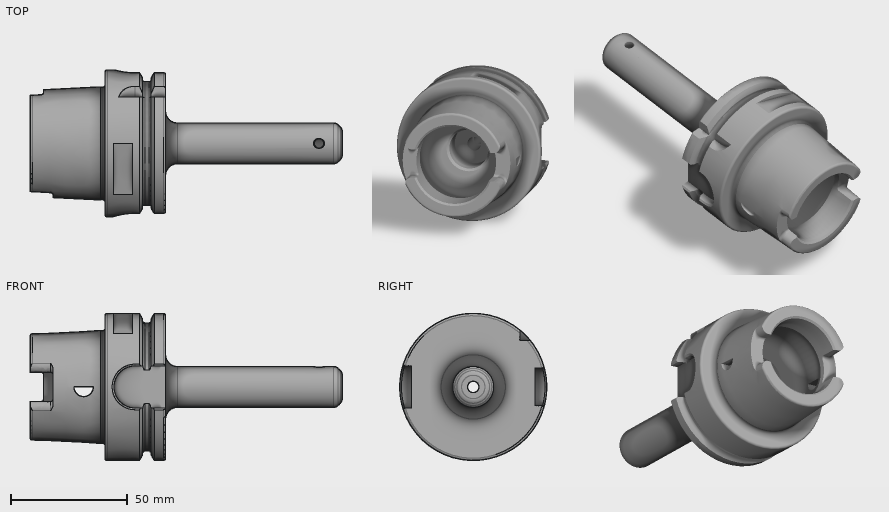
import math

import cadquery as cq


taper_length = 32.0
taper_slope = 0.5 / 9.98
gauge_radius = 48.05 / 2
gauge_x = -6.3
rim_rounding = 1.0
relief_radius = 48.24 / 2
relief_start_x = -1.9
relief_ramp = 0.4
seat_rounding = 1.0

flange_radius = 63.0 / 2
flange_length = 26.0
flange_rounding = 1.0
groove_x = 17.95
groove_bottom_radius = 27.45
groove_width = 3.6
groove_rounding = 0.9
groove_flank_radius = 29.1
groove_flank_angle = 30.0

shank_radius = 17.53 / 2
shank_end_x = 101.6
neck_rounding = 5.0
tip_face_radius = 10.0 / 2
tip_cone_radius = 14.0 / 2
tip_cone_angle = 45.0

mouth_radius = 34.0 / 2
mouth_chamfer = 0.8
mouth_depth = 12.4
cavity_radius = 40.0 / 2
cavity_shoulder_angle = 60.0
cavity_floor_x = 0.0
cavity_floor_rounding = 4.4
socket_radius = 17.0 / 2
socket_rim_radius = 19.0 / 2
socket_depth = 12.0
duct_radius = 4.76 / 2
duct_entry_radius = 6.0 / 2
duct_entry_depth = 10.0

drive_slot_width = 12.4
drive_slot_depth_front = 9.8
drive_slot_depth_back = 5.7
drive_slot_edge_rounding = 2.7
drive_slot_corner = 1.0

access_hole_radius = 8.2 / 2
access_hole_x = -9.1

keyway_floor = 26.5
keyway_end_x = 12.9
keyway_width_front = 18.0
keyway_width_back = 16.0
keyway_chamfer = 0.8

notch_corner = 19.9
notch_runout_x = 12.8
notch_runout_radius = 7.5

label_start_x = 3.6
label_width = 8.1
label_tilt = 21.9
label_floor = 29.25

outlet_radius = 3.96 / 2
outlet_rim_radius = 4.76 / 2
outlet_from_tip = 10.0

pick_margin = 0.1


def taper_radius(x):
    return gauge_radius + (x - gauge_x) * taper_slope


def revolve(outline):
    return outline.close().revolve(360, (0, 0, 0), (1, 0, 0))


def make_taper():
    outline = (
        cq.Workplane("XY")
        .moveTo(-taper_length, 0)
        .lineTo(-taper_length, taper_radius(-taper_length))
        .lineTo(relief_start_x, taper_radius(relief_start_x))
        .lineTo(relief_start_x + relief_ramp, relief_radius)
        .lineTo(-seat_rounding, relief_radius)
        .radiusArc((0, relief_radius + seat_rounding), -seat_rounding)
        .lineTo(0, 0)
    )
    return revolve(outline)


def make_groove():
    half = groove_width / 2
    flank_rise = flange_radius - groove_flank_radius
    top_half = half + flank_rise * math.tan(math.radians(groove_flank_angle))
    floor_half = half - groove_rounding
    floor_end_radius = groove_bottom_radius + groove_rounding
    outline = (
        cq.Workplane("XY")
        .moveTo(groove_x - floor_half, groove_bottom_radius)
        .radiusArc((groove_x - half, floor_end_radius), groove_rounding)
        .lineTo(groove_x - half, groove_flank_radius)
        .lineTo(groove_x - top_half, flange_radius)
        .lineTo(groove_x + top_half, flange_radius)
        .lineTo(groove_x + half, groove_flank_radius)
        .lineTo(groove_x + half, floor_end_radius)
        .radiusArc((groove_x + floor_half, groove_bottom_radius), groove_rounding)
    )
    return revolve(outline)


def make_shank():
    slant = math.radians(tip_cone_angle)
    tip_rounding = (tip_cone_radius - tip_face_radius) / math.sin(slant)
    bulge = tip_rounding * (1 - math.cos(slant))
    cone_end_x = shank_end_x - bulge
    cone_start_radius = shank_radius - bulge
    cone_start_x = cone_end_x - (cone_start_radius - tip_cone_radius) / math.tan(slant)
    round_start_x = cone_start_x - tip_rounding * math.sin(slant)
    outline = (
        cq.Workplane("XY")
        .moveTo(flange_length, 0)
        .lineTo(flange_length, shank_radius + neck_rounding)
        .radiusArc((flange_length + neck_rounding, shank_radius), -neck_rounding)
        .lineTo(round_start_x, shank_radius)
        .radiusArc((cone_start_x, cone_start_radius), tip_rounding)
        .lineTo(cone_end_x, tip_cone_radius)
        .radiusArc((shank_end_x, tip_face_radius), tip_rounding)
        .lineTo(shank_end_x, 0)
    )
    return revolve(outline)


def make_inside():
    mouth_end_x = -taper_length + mouth_depth
    shoulder = (cavity_radius - mouth_radius) / math.tan(math.radians(cavity_shoulder_angle))
    socket_rim = socket_rim_radius - socket_radius
    socket_end_x = cavity_floor_x + socket_depth
    duct_step_x = socket_end_x + duct_entry_depth
    outline = (
        cq.Workplane("XY")
        .moveTo(-taper_length, 0)
        .lineTo(-taper_length, mouth_radius + mouth_chamfer)
        .lineTo(-taper_length + mouth_chamfer, mouth_radius)
        .lineTo(mouth_end_x, mouth_radius)
        .lineTo(mouth_end_x + shoulder, cavity_radius)
        .lineTo(cavity_floor_x - cavity_floor_rounding, cavity_radius)
        .radiusArc((cavity_floor_x, cavity_radius - cavity_floor_rounding), cavity_floor_rounding)
        .lineTo(cavity_floor_x, socket_rim_radius)
        .lineTo(cavity_floor_x + socket_rim, socket_radius)
        .lineTo(socket_end_x, socket_radius)
        .lineTo(socket_end_x, duct_entry_radius)
        .lineTo(duct_step_x, duct_entry_radius)
        .lineTo(duct_step_x, duct_radius)
        .lineTo(shank_end_x, duct_radius)
        .lineTo(shank_end_x, 0)
    )
    return revolve(outline)


def make_drive_slot(side, depth):
    slot = cq.Workplane("XY").box(depth, flange_radius, drive_slot_width, centered=(False, True, True))
    return slot.translate((-taper_length, side * flange_radius / 2, 0))


def make_corner_relief(side, depth):
    """Void that carries the slot's corner rounding around its rolled edge, on the +Z wall."""
    half = drive_slot_width / 2
    end_x = -taper_length + depth
    start_x = end_x - drive_slot_corner
    rounding = drive_slot_edge_rounding
    axis_reach = taper_radius(start_x) - rounding
    axis_z = half + rounding
    axis_y = math.sqrt(axis_reach**2 - axis_z**2)
    roll_end_z = axis_z * taper_radius(start_x) / axis_reach
    start_z = half - drive_slot_corner
    void = (
        cq.Workplane("XY")
        .box(drive_slot_corner, flange_radius, roll_end_z - start_z, centered=(False, True, False))
        .translate((start_x, side * (axis_y + flange_radius / 2), start_z))
    )
    flare_outline = (
        cq.Workplane("XY")
        .moveTo(start_x, 0)
        .lineTo(start_x, rounding)
        .radiusArc((end_x, rounding + drive_slot_corner), -drive_slot_corner)
        .lineTo(end_x, 0)
    )
    return void.cut(revolve(flare_outline).translate((0, side * axis_y, axis_z)))


def cut_drive_slots(taper):
    """Cut both slots, roll their long edges over into the taper and round the rim circle."""
    rounded_rim = taper.edges("<X").fillet(rim_rounding)
    slot_depths = {-1: drive_slot_depth_front, 1: drive_slot_depth_back}
    for side, depth in slot_depths.items():
        taper = taper.cut(make_drive_slot(side, depth - drive_slot_corner))

    half = drive_slot_width / 2
    for wall_z in (-half, half):
        wall_edges = cq.selectors.BoxSelector(
            (-taper_length + pick_margin, -flange_radius, wall_z - pick_margin),
            (0, flange_radius, wall_z + pick_margin),
        )
        end_edges = cq.selectors.ParallelDirSelector(cq.Vector(0, 1, 0))
        taper = taper.edges(wall_edges - end_edges).fillet(drive_slot_edge_rounding)

    for side, depth in slot_depths.items():
        round_slot = make_drive_slot(side, depth).edges(">X and |Y").fillet(drive_slot_corner)
        relief = make_corner_relief(side, depth)
        taper = taper.cut(round_slot).cut(relief).cut(relief.mirror("XY"))
    return taper.intersect(rounded_rim)


def make_access_hole():
    span = 2 * flange_radius
    hole = (
        cq.Workplane("XZ", origin=(access_hole_x, span / 2, 0))
        .circle(access_hole_radius)
        .extrude(span)
    )
    lower_half = cq.Workplane("XY").box(span, span, span).translate((0, 0, -span / 2))
    return hole.intersect(lower_half)


def make_keyway(side, width):
    """Flat-bottomed keyway, round at its -X end and open through the shank side."""
    half = width / 2
    keyway = (
        cq.Workplane("XZ", origin=(0, -keyway_floor, 0))
        .moveTo(keyway_end_x, half)
        .threePointArc((keyway_end_x - half, 0), (keyway_end_x, -half))
        .lineTo(flange_length, -half)
        .lineTo(flange_length, half)
        .close()
        .extrude(flange_radius)
    )
    return keyway if side < 0 else keyway.mirror("XZ")


def make_flange():
    blank = cq.Workplane("YZ").circle(flange_radius).extrude(flange_length)
    rounded_blank = blank.edges().fillet(flange_rounding)

    keyway_widths = {-1: keyway_width_front, 1: keyway_width_back}
    flange = blank
    for side, width in keyway_widths.items():
        flange = flange.cut(make_keyway(side, width))
    keyway_mouths = cq.selectors.BoxSelector(
        (flange_rounding, -flange_radius - pick_margin, -keyway_width_front),
        (flange_length - pick_margin, flange_radius + pick_margin, keyway_width_front),
    )
    floor_edges = cq.selectors.BoxSelector(
        (0, -keyway_floor - pick_margin, -flange_radius),
        (flange_length, keyway_floor + pick_margin, flange_radius),
    )
    upright_edges = cq.selectors.ParallelDirSelector(cq.Vector(0, 1, 0))
    flange = flange.edges(keyway_mouths - floor_edges - upright_edges).chamfer(keyway_chamfer)
    return flange.intersect(rounded_blank).cut(make_groove())


def make_notch():
    """Right-angled notch, its floor facing +Z and running out upwards along an arc."""
    runout_top = notch_corner + notch_runout_radius
    return (
        cq.Workplane("XZ", origin=(0, notch_corner, 0))
        .moveTo(notch_runout_x, notch_corner)
        .radiusArc((notch_runout_x - notch_runout_radius, runout_top), notch_runout_radius)
        .lineTo(flange_length, runout_top)
        .lineTo(flange_length, notch_corner)
        .close()
        .extrude(-flange_radius)
    )


def make_label_flat():
    return (
        cq.Workplane("XY")
        .box(label_width, 2 * flange_radius, flange_radius, centered=(False, True, False))
        .translate((label_start_x, 0, label_floor))
        .rotate((0, 0, 0), (1, 0, 0), label_tilt)
    )


def make_outlet():
    outlet_x = shank_end_x - outlet_from_tip
    rim = outlet_rim_radius - outlet_radius
    outline = (
        cq.Workplane("XZ")
        .lineTo(outlet_radius, 0)
        .lineTo(outlet_radius, shank_radius - rim)
        .lineTo(outlet_rim_radius, shank_radius)
        .lineTo(0, shank_radius)
        .close()
    )
    return outline.revolve(360, (0, 0, 0), (0, 1, 0)).translate((outlet_x, 0, 0))


taper = cut_drive_slots(make_taper())
result = taper.union(make_flange()).union(make_shank())
result = result.cut(make_inside())
result = result.cut(make_access_hole())
result = result.cut(make_notch())
result = result.cut(make_label_flat())
result = result.cut(make_outlet())